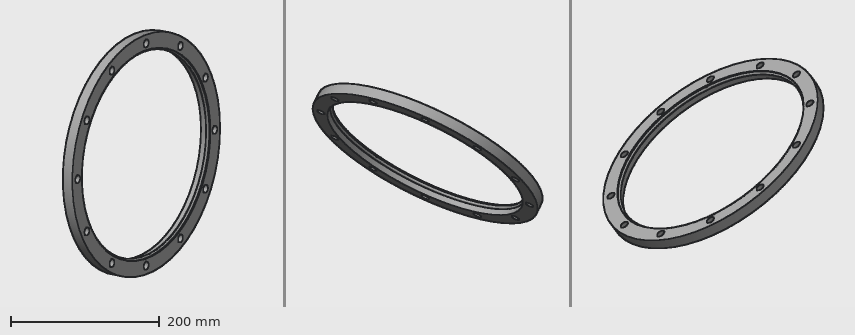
import cadquery as cq

outer_diameter = 335.0
bore_diameter = 290.8
thickness = 16.0

hole_count = 12
hole_diameter = 11.0
hole_circle_diameter = 310.2

seal_outer_diameter = 295.8
seal_section_radius = (seal_outer_diameter - bore_diameter) / 2
seal_center_x = 11.7


def make_seal():
    """Torus whose section is centered on the bore surface."""
    return (
        cq.Workplane("XY")
        .center(seal_center_x, bore_diameter / 2)
        .circle(seal_section_radius)
        .revolve(360, (0, -bore_diameter / 2), (1, -bore_diameter / 2))
    )


def make_flange():
    """Flat ring with through bolt holes and a half-round seal groove."""
    ring = (
        cq.Workplane("YZ")
        .circle(outer_diameter / 2)
        .circle(bore_diameter / 2)
        .extrude(thickness)
    )
    bolt_holes = (
        cq.Workplane("YZ")
        .polarArray(hole_circle_diameter / 2, 0, 360, hole_count)
        .circle(hole_diameter / 2)
        .extrude(thickness)
    )
    return ring.cut(bolt_holes).cut(make_seal())


flange = make_flange()
seal = make_seal()

result = cq.Compound.makeCompound([flange.val(), seal.val()])